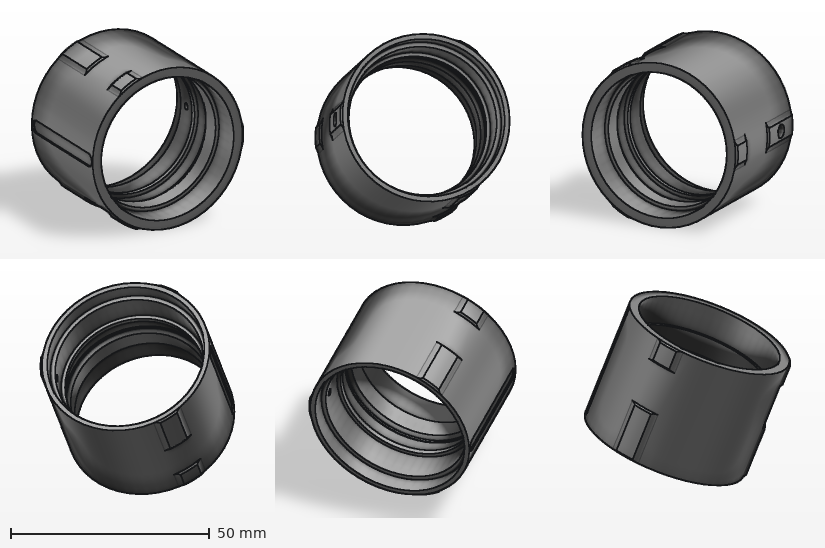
import cadquery as cq
import math

length = 32.0
outer_radius = 21.5

mouth_radius = 20.2
mouth_depth = 4.2
socket_radius = 19.0
socket_end = 11.9
bore_radius = 18.0

recess_start = 13.3
recess_end = 17.4
ledge_radius = 18.9
ledge_end = 18.2
ramp_start = 18.45
ramp_start_radius = 18.75

far_bore_start = 24.3

pad_count = 3
pad_radius = 22.0
pad_base_half_width = 3.95
pad_top_half_width = 2.5
pad_root_depth = 1.0
flank_hollow = 0.1
pad_end_bevel = 0.45
long_pad_length = 14.0
short_pad_length = 6.0

groove_end_margin = 0.5
groove_width = 3.5
groove_depth = 0.5

screw_x = long_pad_length / 2
screw_hole_diameter = 1.7
screw_head_diameter = 3.5
screw_head_depth = 1.8


def height_on_circle(radius, half_width):
    """Distance from the axis plane to a circle, at a sideways offset."""
    return math.sqrt(radius**2 - half_width**2)


def revolve_about_x(outline):
    """Full turn of a closed XY outline about the X axis."""
    return outline.revolve(360, (0, 0, 0), (1, 0, 0))


def make_bore():
    """Stepped bore with its snap recess, as a solid to cut away."""
    recess_wall = socket_radius - ledge_radius
    ramp_end = ramp_start + ramp_start_radius - bore_radius
    outline = (
        cq.Workplane("XY")
        .lineTo(0, mouth_radius)
        .lineTo(mouth_depth, mouth_radius)
        .lineTo(mouth_depth, socket_radius)
        .lineTo(socket_end, socket_radius)
        .lineTo(socket_end, bore_radius)
        .lineTo(recess_start, bore_radius)
        .lineTo(recess_start, socket_radius)
        .lineTo(recess_end, socket_radius)
        .lineTo(recess_end + recess_wall, ledge_radius)
        .lineTo(ledge_end, ledge_radius)
        .lineTo(ramp_start, ramp_start_radius)
        .lineTo(ramp_end, bore_radius)
        .lineTo(far_bore_start, bore_radius)
        .lineTo(far_bore_start, socket_radius)
        .lineTo(length, socket_radius)
        .lineTo(length, 0)
        .close()
    )
    return revolve_about_x(outline)


def make_pad(start, pad_length):
    """Pad on the +Y side with hollow flanks and bevelled ends."""
    end = start + pad_length
    base_y = height_on_circle(outer_radius, pad_base_half_width)
    top_y = height_on_circle(pad_radius, pad_top_half_width)
    root_y = base_y - pad_root_depth

    flank_run = pad_base_half_width - pad_top_half_width
    flank_rise = top_y - base_y
    flank_chord = math.hypot(flank_run, flank_rise)
    mid_half_width = pad_base_half_width - flank_run / 2 - flank_hollow * flank_rise / flank_chord
    mid_y = base_y + flank_rise / 2 - flank_hollow * flank_run / flank_chord

    cross_section = (
        cq.Workplane("YZ")
        .workplane(offset=start)
        .moveTo(root_y, -pad_base_half_width)
        .lineTo(base_y, -pad_base_half_width)
        .threePointArc((mid_y, -mid_half_width), (top_y, -pad_top_half_width))
        .threePointArc((pad_radius, 0), (top_y, pad_top_half_width))
        .threePointArc((mid_y, mid_half_width), (base_y, pad_base_half_width))
        .lineTo(root_y, pad_base_half_width)
        .close()
    )
    side_outline = (
        cq.Workplane("XY")
        .moveTo(start, 0)
        .lineTo(end, 0)
        .lineTo(end, outer_radius)
        .lineTo(end - pad_end_bevel, pad_radius)
        .lineTo(start + pad_end_bevel, pad_radius)
        .lineTo(start, outer_radius)
        .close()
    )
    return cross_section.extrude(pad_length).intersect(revolve_about_x(side_outline))


def make_groove():
    """Round-ended cutter reaching outward from the flat groove floor."""
    floor_y = -outer_radius + groove_depth
    return (
        cq.Workplane("XZ", origin=(length / 2, floor_y, 0))
        .slot2D(length - 2 * groove_end_margin, groove_width)
        .extrude(2 * groove_depth)
    )


def make_screw_hole():
    """Radial hole from the axis through the +Y wall, with a head counterbore."""
    head_floor_y = pad_radius - screw_head_depth
    shank = cq.Workplane("XZ", origin=(screw_x, 0, 0)).circle(screw_hole_diameter / 2).extrude(-pad_radius)
    head = (
        cq.Workplane("XZ", origin=(screw_x, head_floor_y, 0))
        .circle(screw_head_diameter / 2)
        .extrude(-2 * screw_head_depth)
    )
    return shank.union(head)


sleeve = cq.Workplane("YZ").circle(outer_radius).extrude(length)

long_pad = make_pad(0, long_pad_length)
short_pad = make_pad(length - short_pad_length, short_pad_length)
for pad_index in range(pad_count):
    pad_angle = pad_index * 360 / pad_count
    for pad in (long_pad, short_pad):
        sleeve = sleeve.union(pad.rotate((0, 0, 0), (1, 0, 0), pad_angle))

result = sleeve.cut(make_bore()).cut(make_groove()).cut(make_screw_hole())